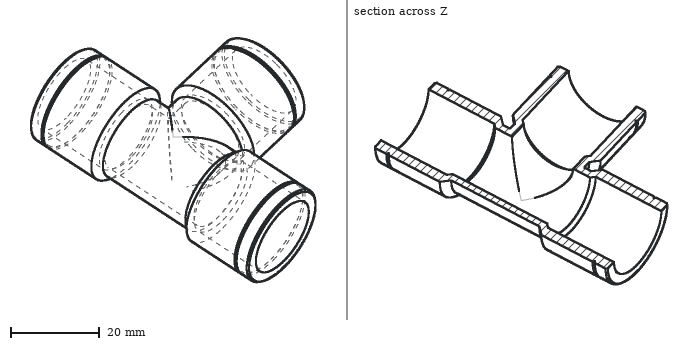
import cadquery as cq
import math

run_length = 64.0
arm_length = run_length / 2

socket_diameter = 24.2
neck_diameter = 20.5
socket_length = 18.05
face_chamfer = 0.4

collar_length = 3.4
groove_width = 0.6
groove_angle = 60.0

counterbore_diameter = 18.6
bore_diameter = 16.8

socket_radius = socket_diameter / 2
neck_radius = neck_diameter / 2
counterbore_radius = counterbore_diameter / 2
bore_radius = bore_diameter / 2

shoulder_start = arm_length - socket_length
shoulder_end = shoulder_start - (socket_radius - neck_radius)
cone_end = shoulder_start - (counterbore_radius - bore_radius)
groove_outer = arm_length - collar_length
groove_inner = groove_outer - groove_width
groove_middle = (groove_outer + groove_inner) / 2
groove_depth = groove_width / 2 / math.tan(math.radians(groove_angle / 2))
groove_root_radius = socket_radius - groove_depth

arm_directions = [(-1, 0, 0), (1, 0, 0), (0, 1, 0)]


def revolve_arm(profile, direction):
    """Turn (radius, distance from the tee centre) points about the axis of one arm."""
    arm_axis = cq.Vector(*direction)
    radial = cq.Vector(0, 0, 1)
    plane = cq.Plane(origin=(0, 0, 0), xDir=radial, normal=radial.cross(arm_axis))
    return cq.Workplane(plane).polyline(profile).close().revolve(360, (0, 0, 0), (0, 1, 0))


def join_arms(profile):
    """Fuse the same turned profile along all three arms."""
    joined, *others = [revolve_arm(profile, direction) for direction in arm_directions]
    for arm in others:
        joined = joined.union(arm)
    return joined


outer_profile = [
    (0, 0),
    (neck_radius, 0),
    (neck_radius, shoulder_end),
    (socket_radius, shoulder_start),
    (socket_radius, groove_inner),
    (groove_root_radius, groove_middle),
    (socket_radius, groove_outer),
    (socket_radius, arm_length - face_chamfer),
    (socket_radius - face_chamfer, arm_length),
    (0, arm_length),
]

inner_profile = [
    (0, 0),
    (bore_radius, 0),
    (bore_radius, cone_end),
    (counterbore_radius, shoulder_start),
    (counterbore_radius, arm_length),
    (0, arm_length),
]

body = join_arms(outer_profile)
passage = join_arms(inner_profile)
result = body.cut(passage)